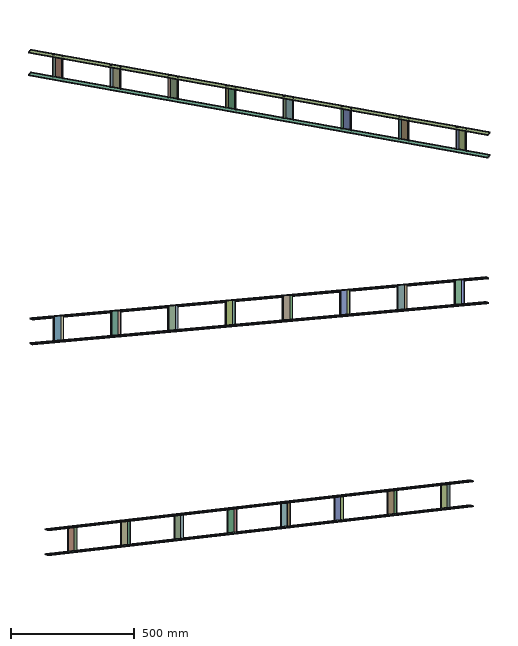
import cadquery as cq
import math

rail_length = 1994
rail_width = 25.0
rail_thickness = 3.0
overall_height = 105.0

rung_count = 8
end_margin = 122.0
rung_pitch = (rail_length - 2 * end_margin) / (rung_count - 1)
rung_mouth_width = 45.0
rung_web_width = 28.0
rung_depth = 9.0
sheet_thickness = 1.0
rung_height = overall_height - 2 * rail_thickness


def make_rail(bottom_z):
    """Flat strip centred on X and Y, lying on bottom_z."""
    return (
        cq.Workplane("XY")
        .workplane(offset=bottom_z)
        .rect(rail_length, rail_width)
        .extrude(rail_thickness)
    )


def make_rung(center_x):
    """Channel with its web flush with the rails' +Y edge and its flanges flaring toward -Y."""
    web_y = rail_width / 2
    mouth_y = web_y - rung_depth
    half_web = rung_web_width / 2
    half_mouth = rung_mouth_width / 2
    flare = half_mouth - half_web
    flange_length = math.hypot(flare, rung_depth)
    flange_width_x = sheet_thickness * flange_length / rung_depth
    inner_half_mouth = half_mouth - flange_width_x
    inner_half_web = half_web - flange_width_x + flare * sheet_thickness / rung_depth
    inner_web_y = web_y - sheet_thickness
    return (
        cq.Workplane("XY")
        .workplane(offset=rail_thickness)
        .center(center_x, 0)
        .moveTo(-half_mouth, mouth_y)
        .lineTo(-half_web, web_y)
        .lineTo(half_web, web_y)
        .lineTo(half_mouth, mouth_y)
        .lineTo(inner_half_mouth, mouth_y)
        .lineTo(inner_half_web, inner_web_y)
        .lineTo(-inner_half_web, inner_web_y)
        .lineTo(-inner_half_mouth, mouth_y)
        .close()
        .extrude(rung_height)
    )


lower_rail = make_rail(0)
upper_rail = make_rail(overall_height - rail_thickness)

first_rung_x = end_margin - rail_length / 2
rungs = [make_rung(first_rung_x + index * rung_pitch) for index in range(rung_count)]

result = cq.Compound.makeCompound(
    [lower_rail.val(), upper_rail.val(), *[rung.val() for rung in rungs]]
)